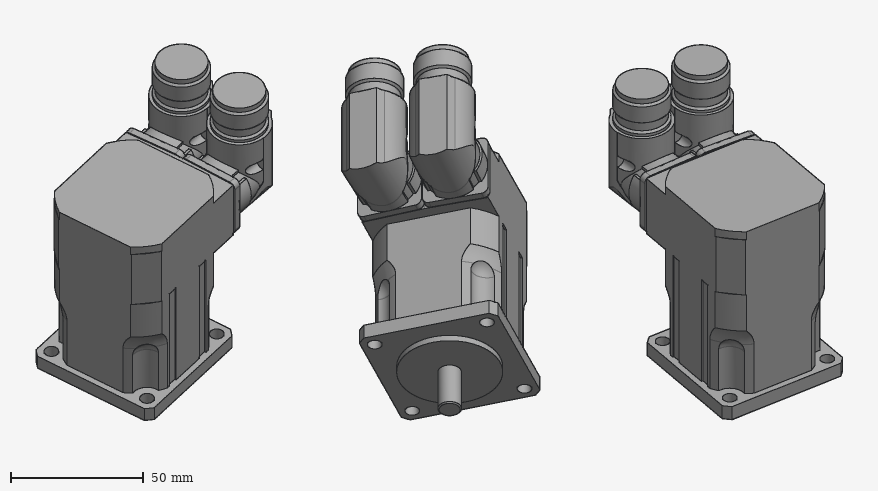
import cadquery as cq
import math


shaft_diameter = 9.0
shaft_length = 20.0
shaft_chamfer = 0.5
pilot_diameter = 40.0
pilot_height = 2.5
flange_size = 55.0
flange_thickness = 6.0
flange_chamfer = 2.6
bolt_circle_radius = 31.5
bolt_hole_diameter = 5.5
bolt_count = 4
first_bolt_angle = 45

housing_size = 50.0
housing_top = 82.0
corner_radius = 30.0
relief_radius = 28.2
relief_start = 28.7
relief_end = 36.2
channel_radius = 6.2
channel_spring = 25.3
groove_inner_edge = 7.4
groove_width = 4.2
groove_depth = 0.6

box_bottom = 52.9
box_top = 78.4
box_chamfer = 8.1

connector_x = 13.5
connector_y = 48.8
connector_tilt = 2.0
elbow_level = 66.0

overall_height = 126
connector_top = overall_height - shaft_length
plug_radius = 20.0 / 2
ring_radius = 22.0 / 2
ring_chamfer = 0.8
tip_length = 2.1
ring_length = 7.3
waist_length = 3.7
collar_length = 1.3

barrel_radius = 12.3
neck_radius = 12.0
shell_radius = 12.5
shell_belly_radius = 12.9
shell_corner = (7.7, 9.8)
shell_back = (5.4, 12.7)
seam_offset = 1.0
seam_knee = 1.1
neck_pad_start = 9.1
neck_pad_width = 14.7
plate_front = 19.3
plate_thickness = 3.0
plate_outer_edge = 13.0
plate_inner_edge = 12.7
plate_corner_radius = 2.5
scallop_radius = 5.2 / 2
scallop_x = 11.8
scallop_z = 9.8

half_housing = housing_size / 2
plate_back = plate_front - plate_thickness
tilt = math.radians(connector_tilt)


def cylinder_z(radius, bottom, top):
    return cq.Workplane("XY").workplane(offset=bottom).circle(radius).extrude(top - bottom)


def cylinder_y(radius, front, back, x=0, z=0):
    """A round bar along Y, from front (smaller y) to back."""
    return cq.Workplane("XZ", origin=(x, front, z)).circle(radius).extrude(front - back)


def block(x_size, y_size, bottom, top):
    return cq.Workplane("XY").workplane(offset=bottom).rect(x_size, y_size).extrude(top - bottom)


def make_shaft():
    shaft = cylinder_z(shaft_diameter / 2, -shaft_length, 0)
    return shaft.faces("<Z").chamfer(shaft_chamfer)


def bolt_spots(level):
    """The centres of the flange screws at the given level."""
    plane = cq.Workplane("XY").workplane(offset=level)
    return plane.polarArray(bolt_circle_radius, first_bolt_angle, 360, bolt_count)


def make_flange():
    plate = block(flange_size, flange_size, 0, flange_thickness).edges("|Z").chamfer(flange_chamfer)
    holes = bolt_spots(0).circle(bolt_hole_diameter / 2).extrude(flange_thickness)
    return plate.cut(holes).union(cylinder_z(pilot_diameter / 2, -pilot_height, 0))


def make_corner_envelope():
    """A turned shape that rounds the housing corners: narrow below, wide above."""
    rise = relief_end - relief_start
    widening = corner_radius - relief_radius
    arc_radius = (rise ** 2 + widening ** 2) / (2 * widening)
    half_angle = math.asin(rise / arc_radius) / 2
    arc_middle = (
        relief_radius + arc_radius * (1 - math.cos(half_angle)),
        relief_start + arc_radius * math.sin(half_angle),
    )
    return (
        cq.Workplane("XZ")
        .moveTo(0, flange_thickness)
        .lineTo(relief_radius, flange_thickness)
        .lineTo(relief_radius, relief_start)
        .threePointArc(arc_middle, (corner_radius, relief_end))
        .lineTo(corner_radius, housing_top)
        .lineTo(0, housing_top)
        .close()
        .revolve(360, (0, 0, 0), (0, 1, 0))
    )


def make_screw_channels():
    """Round-ended channels that give access to the four flange screws."""
    bores = bolt_spots(flange_thickness).circle(channel_radius).extrude(channel_spring - flange_thickness)
    ends = bolt_spots(channel_spring).sphere(channel_radius)
    return bores.union(ends)


def make_side_grooves():
    groove_y = groove_inner_edge + groove_width / 2
    return (
        cq.Workplane("XY")
        .workplane(offset=flange_thickness)
        .pushPoints([(x, y) for x in (-half_housing, half_housing) for y in (-groove_y, groove_y)])
        .rect(2 * groove_depth, groove_width)
        .extrude(box_bottom - flange_thickness)
    )


def make_connector_box():
    """The box under the connectors. Its back has one face square to each tilted connector."""
    ridge_y = connector_y - plate_front / math.cos(tilt) + connector_x * math.tan(tilt)
    edge_y = ridge_y - half_housing * math.tan(tilt)
    flat_half = half_housing - box_chamfer
    return (
        cq.Workplane("XY")
        .workplane(offset=box_bottom)
        .polyline([
            (-flat_half, -half_housing),
            (flat_half, -half_housing),
            (half_housing, -flat_half),
            (half_housing, edge_y),
            (0, ridge_y),
            (-half_housing, edge_y),
            (-half_housing, -flat_half),
        ])
        .close()
        .extrude(box_top - box_bottom)
    )


def make_motor():
    housing = block(housing_size, housing_size, flange_thickness, housing_top)
    housing = housing.intersect(make_corner_envelope())
    housing = housing.cut(make_screw_channels()).cut(make_side_grooves())
    housing = housing.cut(block(2 * housing_size, 2 * housing_size, box_bottom, box_top))
    return housing.union(make_connector_box()).union(make_flange()).union(make_shaft())


plug_top = connector_top - elbow_level
ring_top = plug_top - tip_length - ring_chamfer
ring_bottom = ring_top - ring_length
waist_bottom = ring_bottom - ring_chamfer - waist_length
collar_top = waist_bottom - ring_chamfer
barrel_top = collar_top - collar_length


def make_plug():
    return (
        cq.Workplane("XZ")
        .polyline([
            (0, barrel_top),
            (ring_radius, barrel_top),
            (ring_radius, collar_top),
            (plug_radius, waist_bottom),
            (plug_radius, ring_bottom - ring_chamfer),
            (ring_radius, ring_bottom),
            (ring_radius, ring_top),
            (plug_radius, ring_top + ring_chamfer),
            (plug_radius, plug_top),
            (0, plug_top),
        ])
        .close()
        .revolve(360, (0, 0, 0), (0, 1, 0))
    )


def make_back_shell():
    """The slightly larger back half of the elbow, split off along a bent seam."""
    corner_x, corner_y = shell_corner
    back_x, back_y = shell_back
    outline = (
        cq.Workplane("XY")
        .workplane(offset=-shell_belly_radius)
        .moveTo(corner_x, corner_y)
        .lineTo(back_x, back_y)
        .lineTo(-back_x, back_y)
        .lineTo(-corner_x, corner_y)
        .threePointArc((0, -shell_radius), (corner_x, corner_y))
        .close()
        .extrude(barrel_top + shell_belly_radius)
    )
    belly = cylinder_y(shell_belly_radius, -shell_belly_radius, shell_belly_radius)
    belly = belly.union(block(2 * shell_belly_radius, 2 * shell_belly_radius, 0, barrel_top))
    slope_end = -seam_offset - (seam_knee + shell_belly_radius)
    behind_seam = (
        cq.Workplane("YZ")
        .polyline([
            (-seam_offset, barrel_top),
            (-seam_offset, seam_knee),
            (slope_end, -shell_belly_radius),
            (shell_belly_radius, -shell_belly_radius),
            (shell_belly_radius, barrel_top),
        ])
        .close()
        .extrude(shell_belly_radius, both=True)
    )
    return outline.intersect(belly).intersect(behind_seam)


def make_barrel():
    """The upright front of the elbow, with a scallop on each side."""
    barrel = cylinder_z(barrel_radius, 0, barrel_top)
    for side in (-1, 1):
        barrel = barrel.cut(
            cylinder_y(scallop_radius, -barrel_radius, -seam_offset, side * scallop_x, scallop_z)
        )
    return barrel


def make_neck():
    """The horizontal neck, with a raised pad on each of its four sides."""
    pads = cylinder_y(shell_belly_radius, -plate_back, -neck_pad_start)
    cross = cq.Workplane("XZ").rect(neck_pad_width, 2 * shell_belly_radius)
    cross = cross.extrude(plate_back)
    cross = cross.union(cross.rotate((0, 0, 0), (0, 1, 0), 90))
    return cylinder_y(neck_radius, -plate_back, 0).union(pads.intersect(cross))


def make_plate():
    width = plate_outer_edge + plate_inner_edge
    middle = (plate_inner_edge - plate_outer_edge) / 2
    return (
        cq.Workplane("XZ", origin=(middle, -plate_back, 0))
        .rect(width, 2 * shell_belly_radius)
        .extrude(plate_thickness)
        .edges("|Y")
        .fillet(plate_corner_radius)
    )


def make_connector():
    """The connector on the -X side, in its place on the motor."""
    connector = make_back_shell().union(make_barrel()).union(make_neck())
    connector = connector.union(make_plate()).union(make_plug())
    connector = connector.rotate((0, 0, 0), (0, 0, 1), connector_tilt)
    return connector.translate((-connector_x, connector_y, elbow_level))


motor = make_motor()
left_connector = make_connector()
right_connector = left_connector.mirror("YZ")

result = cq.Compound.makeCompound([
    motor.solids().val(),
    left_connector.solids().val(),
    right_connector.solids().val(),
])